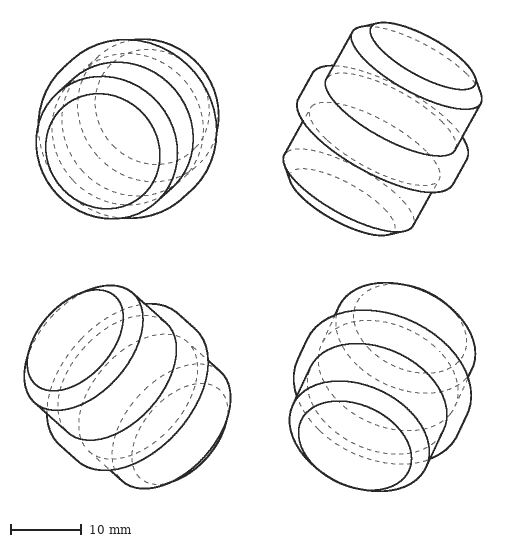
import cadquery as cq

length = 25.0
collar_diameter = 25.0
collar_width = 5.0
collar_edge_radius = 0.4
plug_diameter = 20.8
plug_chamfer = 2.0


def cylinder_along_y(diameter, width):
    """Solid cylinder on the Y axis, centred on the origin."""
    return cq.Workplane("XZ", origin=(0, width / 2, 0)).circle(diameter / 2).extrude(width)


plug = cylinder_along_y(plug_diameter, length).faces("<Y or >Y").edges().chamfer(plug_chamfer)

collar = cylinder_along_y(collar_diameter, collar_width).faces("<Y or >Y").edges().fillet(collar_edge_radius)

result = plug.union(collar)